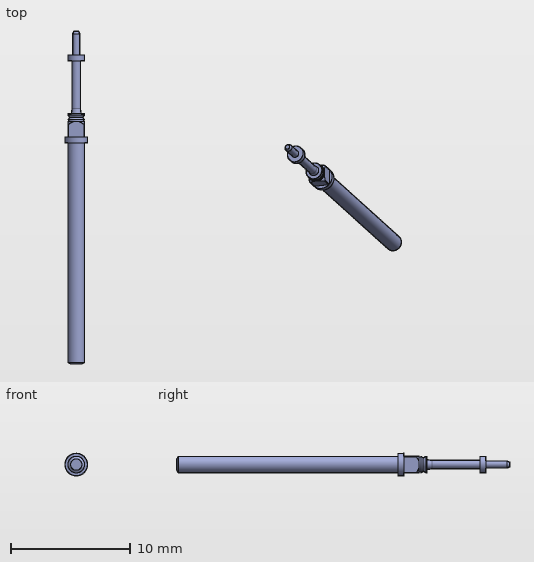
import cadquery as cq

length = 27.9

tip_radius = 0.3
tip_face_radius = 0.2
tip_chamfer_length = 0.25
stem_radius = 0.35
stem_neck_radius = 0.42
plunger_disc_radius = 0.7
plunger_disc_thickness = 0.5
tip_length = 2.0
neck_distance = 6.5

mouth_distance = 6.92
lip_thickness = 0.1
lip_radius = 0.7
groove_radius = 0.55
groove_offset = 0.33
ridge_radius = 0.7
ridge_offset = 0.5
barrel_neck_radius = 0.65
square_offset = 0.67

collar_radius = 0.95
collar_thickness = 0.5
collar_distance = 8.87
flat_distance = 0.7
square_face_radius = 0.73
square_lead_length = collar_radius - square_face_radius

barrel_radius = 0.7
end_face_radius = 0.47
end_chamfer_length = 0.15

disc_front = length - tip_length
disc_back = disc_front - plunger_disc_thickness
neck_start = length - neck_distance
mouth = length - mouth_distance
shoulder = length - collar_distance
collar_back = shoulder - collar_thickness
square_front = mouth - square_offset
square_full = square_front - square_lead_length


def make_turned_body():
    """Revolve the complete half profile, given as (radius, Y), about the Y axis."""
    profile = [
        (0, length),
        (tip_face_radius, length),
        (tip_radius, length - tip_chamfer_length),
        (tip_radius, disc_front),
        (plunger_disc_radius, disc_front),
        (plunger_disc_radius, disc_back),
        (stem_radius, disc_back),
        (stem_radius, neck_start),
        (stem_neck_radius, mouth),
        (lip_radius, mouth),
        (lip_radius, mouth - lip_thickness),
        (groove_radius, mouth - groove_offset),
        (ridge_radius, mouth - ridge_offset),
        (barrel_neck_radius, mouth - ridge_offset),
        (barrel_neck_radius, square_front),
        (square_face_radius, square_front),
        (collar_radius, square_full),
        (collar_radius, collar_back),
        (barrel_radius, collar_back),
        (barrel_radius, end_chamfer_length),
        (end_face_radius, 0),
        (0, 0),
    ]
    return cq.Workplane("XY").polyline(profile).close().revolve(360, (0, 0, 0), (0, 1, 0))


def make_flat_cutters():
    """Stock outside the square drive section, from the shoulder to its front end face."""
    outer_side = 3 * collar_radius
    flat_length = square_front - shoulder
    return (
        cq.Workplane("XZ", origin=(0, square_front, 0))
        .rect(outer_side, outer_side)
        .rect(2 * flat_distance, 2 * flat_distance)
        .extrude(flat_length)
    )


result = make_turned_body().cut(make_flat_cutters())